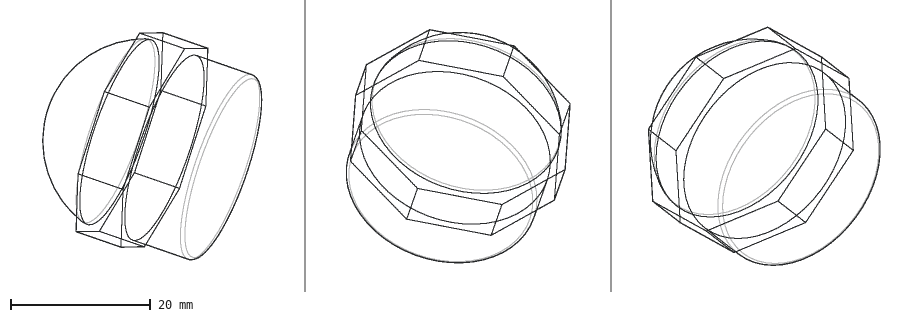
import cadquery as cq
import math

outer_diameter = 28.0

flange_sides = 8
flange_span = 30.68
flange_tilt = -3.4
flange_thickness = 7.05
shank_length = 9.2
shank_end_fillet = 0.5

dome_height = 10.65
band_width = 0.6
band_drop = 0.1

half_side_angle = 180 / flange_sides
corner_angle = half_side_angle + flange_tilt
across_corners = flange_span / math.cos(math.radians(corner_angle))
base_radius = outer_diameter / 2
cap_rim_radius = base_radius - band_drop
cap_height = dome_height - band_width
sphere_radius = (cap_rim_radius**2 + cap_height**2) / (2 * cap_height)
sphere_centre_x = sphere_radius - dome_height


def make_fitting():
    """Octagonal flange and the round shank behind it."""
    flange = (
        cq.Workplane("YZ")
        .polygon(flange_sides, across_corners)
        .extrude(flange_thickness)
        .rotate((0, 0, 0), (1, 0, 0), corner_angle)
    )
    shank = (
        cq.Workplane("YZ", origin=(flange_thickness, 0, 0))
        .circle(base_radius)
        .extrude(shank_length)
        .faces(">X")
        .edges()
        .fillet(shank_end_fillet)
    )
    return flange.union(shank)


def make_dome():
    """Spherical cap on a rounded band, revolved about the X axis."""
    half_cap_angle = math.atan2(cap_rim_radius, sphere_centre_x + band_width) / 2
    cap_middle = (
        sphere_centre_x - sphere_radius * math.cos(half_cap_angle),
        sphere_radius * math.sin(half_cap_angle),
    )
    band_radius = (band_width**2 + band_drop**2) / (2 * band_drop)
    half_band_angle = math.asin(band_width / band_radius) / 2
    band_middle = (
        -band_radius * math.sin(half_band_angle),
        base_radius - band_radius * (1 - math.cos(half_band_angle)),
    )
    return (
        cq.Workplane("XY")
        .lineTo(-dome_height, 0)
        .threePointArc(cap_middle, (-band_width, cap_rim_radius))
        .threePointArc(band_middle, (0, base_radius))
        .close()
        .revolve(360, (0, 0, 0), (1, 0, 0))
    )


fitting = make_fitting()
dome = make_dome()

result = cq.Compound.makeCompound([fitting.val(), dome.val()])